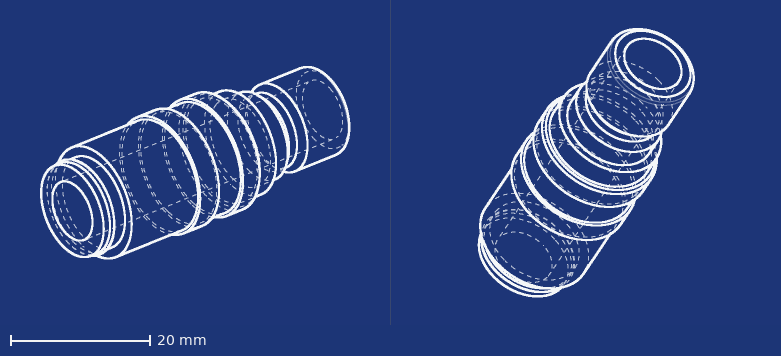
import cadquery as cq

total_length = 47.0

bore_diameter = 9.0
spigot_diameter = 14.0
ring_diameter = 14.55
body_diameter = 17.0
collar_diameter = 18.0
shoulder_diameter = 16.0
plug_diameter = 13.5
neck_diameter = 11.45

spigot_length = 4.0
ring_start = 1.18
ring_width = 0.8
front_collar_start = 16.45
rear_collar_start = 24.5
collar_width = 3.52
collar_chamfer = 0.4
shoulder_end = 31.55
groove_start = 34.8
groove_end = 38.5
groove_flank_length = 1.15
plug_bevel_length = 0.6
plug_bevel_depth = 0.85
plug_blend_radius = 0.55


def cylinder(diameter, start, end):
    """Solid cylinder on the Y axis between two positions."""
    return (
        cq.Workplane("XZ", origin=(0, start, 0))
        .circle(diameter / 2)
        .extrude(start - end)
    )


def revolve_about_axis(profile):
    """Turn a closed radius-length profile about the Y axis."""
    return profile.revolve(360, (0, 0, 0), (0, 1, 0))


def spigot_ring():
    """Rounded bead around the spigot."""
    ring_end = ring_start + ring_width
    ring_middle = ring_start + ring_width / 2
    profile = (
        cq.Workplane("XY")
        .moveTo(0, ring_start)
        .lineTo(spigot_diameter / 2, ring_start)
        .threePointArc((ring_diameter / 2, ring_middle), (spigot_diameter / 2, ring_end))
        .lineTo(0, ring_end)
        .close()
    )
    return revolve_about_axis(profile)


def plug_groove():
    """Flat-bottomed groove with sloping flanks, to be cut from the plug."""
    profile = cq.Workplane("XY").polyline([
        (plug_diameter / 2, groove_start),
        (neck_diameter / 2, groove_start + groove_flank_length),
        (neck_diameter / 2, groove_end - groove_flank_length),
        (plug_diameter / 2, groove_end),
    ]).close()
    return revolve_about_axis(profile)


spigot = cylinder(spigot_diameter, 0, spigot_length).union(spigot_ring())
body = cylinder(body_diameter, spigot_length, rear_collar_start)

front_collar = cylinder(collar_diameter, front_collar_start, front_collar_start + collar_width)
rear_collar_end = rear_collar_start + collar_width
rear_collar = (
    cylinder(collar_diameter, rear_collar_start, rear_collar_end)
    .faces(">Y")
    .edges()
    .chamfer(collar_chamfer)
)
shoulder = cylinder(shoulder_diameter, rear_collar_end, shoulder_end)

plug = (
    cylinder(plug_diameter, shoulder_end, total_length)
    .faces(">Y")
    .edges()
    .chamfer(plug_bevel_length, plug_bevel_depth)
    .faces("%CONE")
    .edges("<Y")
    .fillet(plug_blend_radius)
    .cut(plug_groove())
)

result = spigot
for section in (body, front_collar, rear_collar, shoulder, plug):
    result = result.union(section)
result = result.cut(cylinder(bore_diameter, 0, total_length))